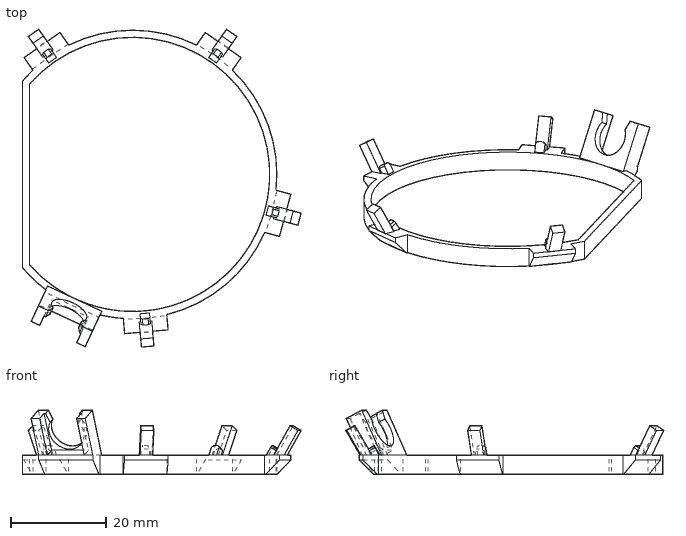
import cadquery as cq
import math

ring_outer_radius = 30.3
ring_wall = 1.55
ring_inner_radius = ring_outer_radius - ring_wall
ring_height = 4.0
flat_distance = 23.2

pad_reach = 33.2
pad_root = 29.4
pad_lip = 1.0
clip_pad_width = 9.2

clip_angles = [125, 55, -15, -85]
clip_lean = 30
arm_width = 2.7
arm_thickness = 2.0
arm_height = 6.2
arm_base_radius = 31.0
tooth_width = 2.0
tooth_thickness = 1.5
tooth_height = 2.0
tooth_chamfer = 0.4

socket_angle = -115
socket_lean = 26
socket_width = 12.55
socket_thickness = 4.0
socket_height = 9.5
socket_cheek = 2.0
socket_back_wall = 1.6
seat_radius = 4.0
seat_center = 6.2
seat_mouth_height = 8.5
seat_mouth_top_width = 7.9


def flat_sided_disc(radius, flat):
    """Disc cut by a straight side at x = -flat."""
    half_chord = math.sqrt(radius**2 - flat**2)
    return (
        cq.Workplane("XY")
        .moveTo(-flat, -half_chord)
        .threePointArc((radius, 0), (-flat, half_chord))
        .close()
        .extrude(ring_height)
    )


def radial_profile(points, width):
    """Prism along Y, centred on the XZ plane, with the given (radius, z) profile."""
    return cq.Workplane("XZ").polyline(points).close().extrude(width / 2, both=True)


def pad(width):
    undercut = ring_height - pad_lip
    return radial_profile(
        [
            (pad_root, 0),
            (pad_reach - undercut, 0),
            (pad_reach, undercut),
            (pad_reach, ring_height),
            (pad_root, ring_height),
        ],
        width,
    )


def leaning_block(base_radius, thickness, height, width, lean):
    """Block standing on the ring top, leaning outward, with its end cut square."""
    angle = math.radians(lean)
    top_radius = base_radius + height * math.tan(angle)
    top_z = ring_height + height
    return radial_profile(
        [
            (base_radius, ring_height),
            (top_radius, top_z),
            (top_radius + thickness * math.cos(angle), top_z - thickness * math.sin(angle)),
            (base_radius + thickness / math.cos(angle), ring_height),
        ],
        width,
    )


def clip():
    arm = leaning_block(arm_base_radius, arm_thickness, arm_height, arm_width, clip_lean)
    tooth_base_radius = arm_base_radius - tooth_thickness / math.cos(math.radians(clip_lean))
    tooth = leaning_block(tooth_base_radius, tooth_thickness, tooth_height, tooth_width, clip_lean)
    tooth = tooth.faces(">Z").edges("not |Y").chamfer(tooth_chamfer)
    return pad(clip_pad_width).union(arm).union(tooth)


def socket():
    angle = math.radians(socket_lean)
    block = leaning_block(ring_inner_radius, socket_thickness, socket_height, socket_width, socket_lean)

    back_face = cq.Plane(
        origin=(ring_inner_radius, 0, ring_height),
        xDir=(0, 1, 0),
        normal=(math.cos(angle), 0, -math.sin(angle)),
    )
    slope_length = socket_height / math.cos(angle)

    floor = socket_thickness * math.tan(angle)
    pocket = (
        cq.Workplane(back_face)
        .workplane(offset=socket_back_wall)
        .center(0, (floor + slope_length) / 2)
        .rect(socket_width - 2 * socket_cheek, slope_length - floor)
        .extrude(socket_thickness - socket_back_wall)
    )

    half_mouth = math.sqrt(seat_radius**2 - (seat_mouth_height - seat_center) ** 2)
    half_top = seat_mouth_top_width / 2
    seat = (
        cq.Workplane(back_face)
        .moveTo(-half_top, slope_length)
        .lineTo(-half_mouth, seat_mouth_height)
        .threePointArc((0, seat_center - seat_radius), (half_mouth, seat_mouth_height))
        .lineTo(half_top, slope_length)
        .close()
        .extrude(socket_back_wall)
    )
    return pad(socket_width).union(block.cut(pocket).cut(seat))


def around_ring(body, angle):
    return body.rotate((0, 0, 0), (0, 0, 1), angle)


result = flat_sided_disc(ring_outer_radius, flat_distance).cut(
    flat_sided_disc(ring_inner_radius, flat_distance - ring_wall)
)
for clip_angle in clip_angles:
    result = result.union(around_ring(clip(), clip_angle))
result = result.union(around_ring(socket(), socket_angle))